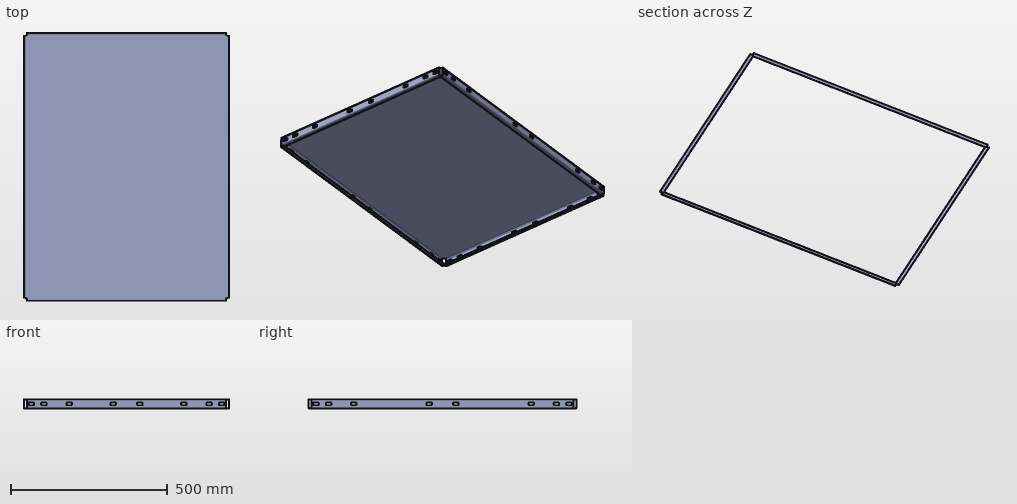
import cadquery as cq
import math

width = 654.0
length = 854.0
height = 30.0

sheet = 1.5
bend_radius = 2.5
lip_width = 13.0
corner_notch = 9.0
mitre_gap = 1.0
mitre_length = 51.0
mitre_angle = 45
corner_web = 3.0

slot_length = 18.0
slot_height = 8.2
slot_end_distances = (24.0, 64.0, 144.0)
slot_middle_offset = 43.0

inner_radius = bend_radius - sheet
half_height = height / 2

z_axis_start = (0, 0, 0)
z_axis_end = (0, 0, 1)


def folded_side(span, run):
    """Half of the top plate, one wall and its lip, folded at +X = span / 2 and running along Y."""
    edge = span / 2
    bend_start = edge - bend_radius
    wall_inside = edge - sheet
    lip_end = edge - lip_width
    bend_height = half_height - bend_radius
    inside_height = half_height - sheet
    outer_mid = bend_radius * math.sqrt(0.5)
    inner_mid = inner_radius * math.sqrt(0.5)
    profile = (
        cq.Workplane("XZ")
        .moveTo(0, half_height)
        .lineTo(bend_start, half_height)
        .threePointArc((bend_start + outer_mid, bend_height + outer_mid), (edge, bend_height))
        .lineTo(edge, -bend_height)
        .threePointArc((bend_start + outer_mid, -bend_height - outer_mid), (bend_start, -half_height))
        .lineTo(lip_end, -half_height)
        .lineTo(lip_end, -inside_height)
        .lineTo(bend_start, -inside_height)
        .threePointArc((bend_start + inner_mid, -bend_height - inner_mid), (wall_inside, -bend_height))
        .lineTo(wall_inside, bend_height)
        .threePointArc((bend_start + inner_mid, bend_height + inner_mid), (bend_start, inside_height))
        .lineTo(0, inside_height)
        .close()
    )
    return profile.extrude(run / 2, both=True)


def corner_webs():
    """Triangles that bridge the inner corner of each notch, in the plate and in the lip frame."""
    corner_x = width / 2 - corner_notch
    corner_y = length / 2 - corner_notch
    web = (
        cq.Workplane("XY", origin=(0, 0, half_height - sheet))
        .moveTo(corner_x, corner_y)
        .lineTo(corner_x + corner_web, corner_y)
        .lineTo(corner_x, corner_y + corner_web)
        .close()
        .extrude(sheet)
    )
    for mirror_plane in ("YZ", "XZ", "XY"):
        web = web.union(web.mirror(mirror_plane))
    return web


def mitre_cutters():
    """Diagonal saw cuts that part the lips from each other at the four corners."""
    cutters = cq.Workplane("XY")
    for x_sign in (-1, 1):
        for y_sign in (-1, 1):
            corner = (
                x_sign * (width / 2 - corner_notch),
                y_sign * (length / 2 - corner_notch),
                -half_height + sheet / 2,
            )
            cutter = (
                cq.Workplane("XY")
                .box(mitre_length, mitre_gap, sheet)
                .rotate(z_axis_start, z_axis_end, x_sign * y_sign * mitre_angle)
                .translate(corner)
            )
            cutters = cutters.add(cutter)
    return cutters.combine()


def slot_positions(span):
    """Centres along a wall of the given full span, mirrored about its middle."""
    offsets = [span / 2 - distance for distance in slot_end_distances]
    offsets.append(slot_middle_offset)
    return [(sign * offset, 0) for offset in offsets for sign in (-1, 1)]


def slot_cutters(plane, wall_span, depth):
    """Horizontal slots passing through both opposite walls."""
    return (
        cq.Workplane(plane)
        .pushPoints(slot_positions(wall_span))
        .slot2D(slot_length, slot_height)
        .extrude(depth / 2, both=True)
    )


wall_run_y = length - 2 * corner_notch
wall_run_x = width - 2 * corner_notch
x_side = folded_side(width, wall_run_y)
y_side = folded_side(length, wall_run_x)

result = x_side
for side, angle in ((x_side, 180), (y_side, 90), (y_side, -90)):
    result = result.union(side.rotate(z_axis_start, z_axis_end, angle))

result = result.union(corner_webs()).clean()
result = result.cut(mitre_cutters())
result = result.cut(slot_cutters("XZ", width, length))
result = result.cut(slot_cutters("YZ", length, width))